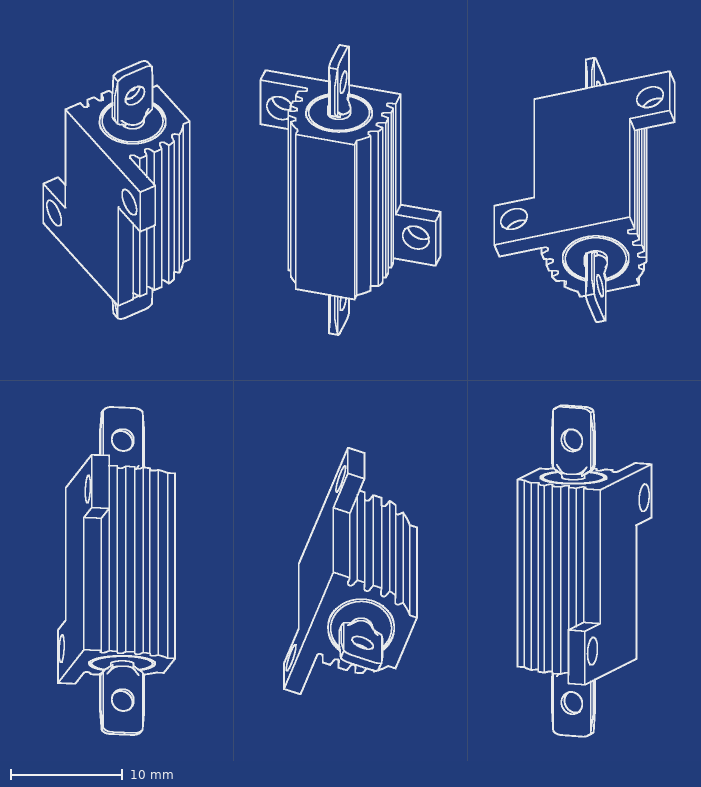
import cadquery as cq
import math


overall_length = 30.0
body_length = 17.1
body_end = body_length / 2
body_half_width = 4.47
body_half_depth = 4.32
crown_radius = 4.55
top_flat_half_width = 2.75

base_thickness = 1.6
base_top = base_thickness - body_half_depth
ear_reach = 16.4 / 2
ear_height = 4.9
ear_hole_x = 6.35
ear_hole_z = 5.82
ear_hole_diameter = 2.45

groove_radius = 0.255
groove_floor = 3.72
grooves = [
    (groove_floor, base_top + groove_radius, 0, 20),
    (groove_floor, -0.9, 15, 15),
    (groove_floor, 0.7, 15, 15),
    (3.4, 2.15, 15, 45),
]

bore_radius = 2.97
plug_bevel = 0.25

neck_radius = 2.07 / 2
neck_top = 9.03
blade_thickness = 0.8
blade_half_width = 4.0 / 2
blade_side_bottom = 10.02
blade_side_top = 12.85
blade_bevel = 0.195
tip_flat_half_width = 1.05
tip_radius = 1.02
tip_corner_half_width = 1.8
shoulder_half_width = 1.45
shoulder_z = 9.15
shoulder_bulge = (1.83, 9.45)
shoulder_foot = (0.9, 8.75)
terminal_hole_z = 12.0
terminal_hole_diameter = 2.0


def box(x_range, y_range, z_range):
    """Axis-aligned box between three pairs of limits."""
    sizes = [high - low for low, high in (x_range, y_range, z_range)]
    corner = (x_range[0], y_range[0], z_range[0])
    return cq.Workplane("XY").box(*sizes, centered=False).translate(corner)


def groove_cutter(floor_x, center_y, lower_angle, upper_angle):
    """Round-bottomed groove on the +X side, its flanks opening outward from the floor radius."""
    center_x = floor_x + groove_radius
    outer_x = crown_radius

    def flank(angle, side):
        slope = math.radians(angle)
        tangent_x = center_x - groove_radius * math.sin(slope)
        tangent_y = groove_radius * math.cos(slope)
        outer_y = tangent_y + (outer_x - tangent_x) * math.tan(slope)
        return (tangent_x, center_y + side * tangent_y), (outer_x, center_y + side * outer_y)

    lower_tangent, lower_outer = flank(lower_angle, -1)
    upper_tangent, upper_outer = flank(upper_angle, 1)
    return (
        cq.Workplane("XY", origin=(0, 0, -body_end))
        .moveTo(*lower_outer)
        .lineTo(*lower_tangent)
        .threePointArc((floor_x, center_y), upper_tangent)
        .lineTo(*upper_outer)
        .close()
        .extrude(body_length)
    )


def finned_body():
    """Crowned extrusion with a flat-topped back and grooves down both sides."""
    z_range = (-body_end, body_end)
    full_width = (-body_half_width, body_half_width)
    crown = cq.Workplane("XY", origin=(0, 0, -body_end)).circle(crown_radius).extrude(body_length)
    body = crown.intersect(box(full_width, (0, body_half_depth), z_range))
    body = body.union(box(full_width, (-body_half_depth, 0), z_range))
    top_flat = (-top_flat_half_width, top_flat_half_width)
    body = body.union(box(top_flat, (0, body_half_depth), z_range))
    for groove in grooves:
        cutter = groove_cutter(*groove)
        body = body.cut(cutter).cut(cutter.mirror("YZ"))
    return body


def mounting_ear():
    """Upper ear on the +X side with its through hole."""
    y_range = (-body_half_depth, base_top)
    ear = box((0, ear_reach), y_range, (body_end - ear_height, body_end))
    hole = (
        cq.Workplane("XZ", origin=(ear_hole_x, base_top, ear_hole_z))
        .circle(ear_hole_diameter / 2)
        .extrude(base_thickness)
    )
    return ear.cut(hole)


def plug_groove():
    """V groove around the plug in the upper end face."""
    return (
        cq.Workplane("XZ")
        .moveTo(bore_radius - plug_bevel, body_end)
        .lineTo(bore_radius, body_end)
        .lineTo(bore_radius, body_end - plug_bevel)
        .close()
        .revolve(360, (0, 0, 0), (0, 1, 0))
    )


def terminal_blade():
    """Flat solder lug with a rounded tip, tapered top and beveled narrow sides."""
    tip = overall_length / 2
    arc_span = tip_corner_half_width - tip_flat_half_width

    def tip_drop(offset):
        return tip_radius - math.sqrt(tip_radius**2 - offset**2)

    tip_mid = (tip_flat_half_width + arc_span / 2, tip - tip_drop(arc_span / 2))
    tip_corner = (tip_corner_half_width, tip - tip_drop(arc_span))
    outline = (
        cq.Workplane("YZ", origin=(-blade_thickness / 2, 0, 0))
        .moveTo(0, tip)
        .lineTo(tip_flat_half_width, tip)
        .threePointArc(tip_mid, tip_corner)
        .lineTo(blade_half_width, blade_side_top)
        .lineTo(blade_half_width, blade_side_bottom)
        .threePointArc(shoulder_bulge, (shoulder_half_width, shoulder_z))
        .lineTo(*shoulder_foot)
        .lineTo(0, shoulder_foot[1])
        .close()
    )
    half = outline.extrude(blade_thickness)
    blade = half.union(half.mirror("XZ"))
    column = (
        cq.Workplane("XY")
        .rect(blade_thickness, 2 * blade_half_width)
        .extrude(tip)
        .edges("|Z")
        .chamfer(blade_bevel)
    )
    return blade.intersect(column)


def terminal_flare():
    """Concave flare from the neck up to the blade faces, trimmed by a cone that opens toward the blade."""
    half_thickness = blade_thickness / 2
    radius = neck_radius - half_thickness
    arc_bend = radius * math.sqrt(0.5)
    arc_mid = (neck_radius - arc_bend, neck_top + radius - arc_bend)
    half = (
        cq.Workplane("XZ", origin=(0, shoulder_half_width, 0))
        .moveTo(0, neck_top)
        .lineTo(neck_radius, neck_top)
        .threePointArc(arc_mid, (half_thickness, neck_top + radius))
        .lineTo(0, neck_top + radius)
        .close()
        .extrude(2 * shoulder_half_width)
    )
    top_radius = math.hypot(half_thickness, shoulder_half_width)
    cone = (
        cq.Workplane("XY", origin=(0, 0, neck_top))
        .circle(neck_radius)
        .workplane(offset=radius)
        .circle(top_radius)
        .loft()
    )
    return half.union(half.mirror("YZ")).intersect(cone)


def terminal():
    """Upper terminal: round neck, flare and drilled blade."""
    neck = (
        cq.Workplane("XY", origin=(0, 0, body_end))
        .circle(neck_radius)
        .extrude(neck_top - body_end)
    )
    hole = (
        cq.Workplane("YZ", origin=(-blade_thickness, 0, 0))
        .center(0, terminal_hole_z)
        .circle(terminal_hole_diameter / 2)
        .extrude(2 * blade_thickness)
    )
    return neck.union(terminal_flare()).union(terminal_blade()).cut(hole)


def half_turn(shape):
    """Copy of a feature turned to the opposite end."""
    return shape.rotate((0, 0, 0), (0, 1, 0), 180)


result = finned_body()
for feature in (mounting_ear(), terminal()):
    result = result.union(feature).union(half_turn(feature))
result = result.cut(plug_groove()).cut(half_turn(plug_groove()))